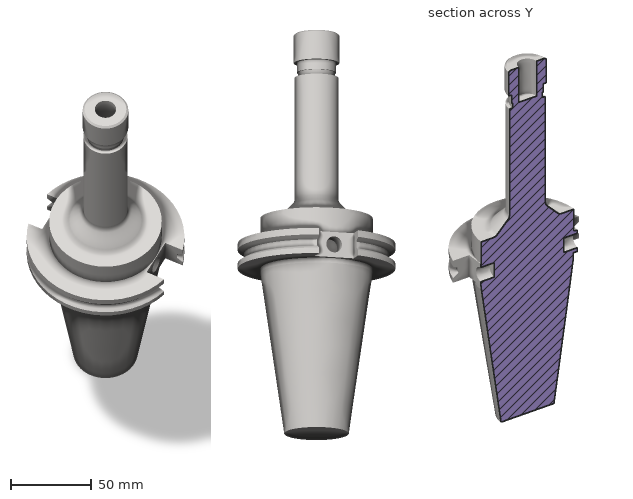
import cadquery as cq
import math

total_length = 254.0
gauge_z = 101.5
flange_bottom_z = 104.6
flange_top_z = 120.6
shoulder_top_z = 136.7
stem_top_z = 226.0
neck_bottom_z = 229.4
nut_bottom_z = 235.5

gauge_radius = 34.92
taper_ratio = 7 / 24
taper_end_radius = gauge_radius - gauge_z * taper_ratio / 2
flange_radius = 98.3 / 2
shoulder_radius = 35.0
stem_radius = 13.7
relief_radius = 11.5
neck_radius = 12.2
nut_radius = 14.2
nut_chamfer_width = 1.3
nut_chamfer_height = 1.0

groove_z = 112.3
groove_floor_radius = 45.2
groove_floor_width = 3.8
groove_flank_angle = 30.0
groove_mouth_width = groove_floor_width + 2 * (
    (flange_radius - groove_floor_radius) * math.tan(math.radians(groove_flank_angle))
)

cone_foot_radius = 26.0
blend_radius = 4.3
blend_reach = blend_radius * math.sin(math.radians(45))
blend_rise = blend_radius - blend_reach
lower_cone_radius = cone_foot_radius - blend_reach
lower_cone_z = shoulder_top_z + blend_rise
upper_cone_radius = stem_radius + blend_rise
upper_cone_z = lower_cone_z + lower_cone_radius - upper_cone_radius
stem_bottom_z = upper_cone_z + blend_reach

slot_width = 25.5
left_slot_floor = 37.8
right_slot_floor = 35.3
cross_hole_diameter = 10.2
cross_hole_z = 112.8
cross_hole_depth = 10.2
bore_diameter = 13.2
bore_depth = 25.5


def turned_body():
    """Revolve the half outline of the complete holder about Z."""
    groove_mouth_bottom = groove_z - groove_mouth_width / 2
    groove_mouth_top = groove_z + groove_mouth_width / 2
    outline = (
        cq.Workplane("XZ")
        .moveTo(0, 0)
        .lineTo(taper_end_radius, 0)
        .lineTo(gauge_radius, gauge_z)
        .lineTo(gauge_radius, flange_bottom_z)
        .lineTo(flange_radius, flange_bottom_z)
        .lineTo(flange_radius, groove_mouth_bottom)
        .lineTo(groove_floor_radius, groove_z - groove_floor_width / 2)
        .lineTo(groove_floor_radius, groove_z + groove_floor_width / 2)
        .lineTo(flange_radius, groove_mouth_top)
        .lineTo(flange_radius, flange_top_z)
        .lineTo(shoulder_radius, flange_top_z)
        .lineTo(shoulder_radius, shoulder_top_z)
        .lineTo(cone_foot_radius, shoulder_top_z)
        .radiusArc((lower_cone_radius, lower_cone_z), blend_radius)
        .lineTo(upper_cone_radius, upper_cone_z)
        .radiusArc((stem_radius, stem_bottom_z), blend_radius)
        .lineTo(stem_radius, stem_top_z)
        .lineTo(relief_radius, stem_top_z)
        .lineTo(relief_radius, neck_bottom_z)
        .lineTo(neck_radius, neck_bottom_z)
        .lineTo(neck_radius, nut_bottom_z)
        .lineTo(nut_radius, nut_bottom_z)
        .lineTo(nut_radius, total_length - nut_chamfer_height)
        .lineTo(nut_radius - nut_chamfer_width, total_length)
        .lineTo(0, total_length)
        .close()
    )
    return outline.revolve(360, (0, 0, 0), (0, 1, 0))


def drive_slot(side, floor):
    """Cutter for one slot and its blind cross hole; side is -1 or +1 along X."""
    slot_depth = flange_radius - floor
    slot = cq.Workplane("XY").box(
        slot_depth, slot_width, flange_top_z - flange_bottom_z, centered=(True, True, False)
    ).translate((side * (floor + slot_depth / 2), 0, flange_bottom_z))
    hole = cq.Workplane(
        cq.Plane(origin=(side * floor, 0, cross_hole_z), xDir=(0, 1, 0), normal=(-side, 0, 0))
    ).circle(cross_hole_diameter / 2).extrude(cross_hole_depth)
    return slot.union(hole)


def nut_bore():
    """Cutter for the blind bore in the end of the nut."""
    return (
        cq.Workplane("XY")
        .workplane(offset=total_length - bore_depth)
        .circle(bore_diameter / 2)
        .extrude(bore_depth)
    )


result = (
    turned_body()
    .cut(drive_slot(-1, left_slot_floor))
    .cut(drive_slot(1, right_slot_floor))
    .cut(nut_bore())
)